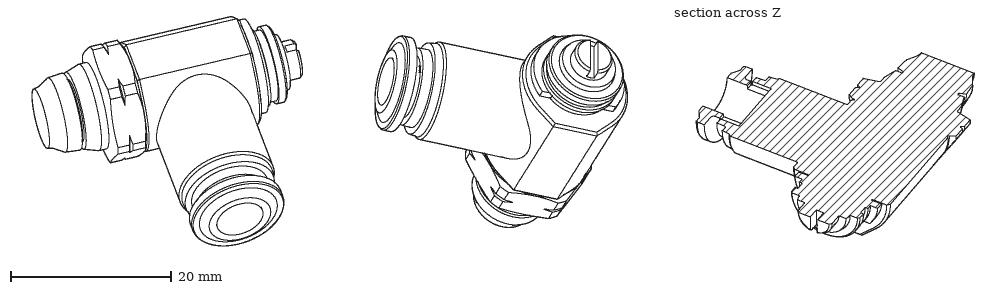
import cadquery as cq
import math


TIP_RADIUS = 3.82
TIP_RIM_RADIUS = 4.0
TIP_RIM_Y = 0.75
BULGE_START_RADIUS = 4.8
BULGE_START_Y = 2.08
BULGE_MID_RADIUS = 4.9
BULGE_MID_Y = 3.0
THREAD_RADIUS = 4.95
BULGE_END_Y = 3.95
NECK_RADIUS = 4.02
NECK_START_Y = 4.25
SEAL_START_Y = 4.45
SEAL_RADIUS = 5.55
SEAL_END_Y = 6.25

HEX_START_Y = 7.25
HEX_END_Y = 11.75
ACROSS_FLATS = 14.0
FLAT_RADIUS = ACROSS_FLATS / 2
CORNER_RADIUS = 7.75
HEX_LOWER_CHAMFER = 0.55
HEX_UPPER_CHAMFER = 0.45
NOTCH_Y = 9.48
NOTCH_RADIUS = 7.3
NOTCH_HALF_WIDTH = 0.25

BODY_START_Y = HEX_END_Y
BODY_END_Y = 26.8
BODY_LOWER_CHAMFER = 0.27
BODY_UPPER_CHAMFER = 0.35

GROOVE_RADIUS = 4.55
CLIP_RADIUS = 6.03
CLIP_CENTRE_Z = 0.55
CLIP_OPENING_Z = -3.0
CLIP_START_Y = 26.87
CLIP_END_Y = 27.9
LIP_RADIUS = 4.95
LOWER_LIP_END_Y = 28.55
UPPER_LIP_START_Y = 29.6
UPPER_LIP_END_Y = 30.75
LIP_CHAMFER = 0.25
SHOULDER_BASE_RADIUS = 3.7
SHOULDER_TAPER_START_Y = 30.95
SHOULDER_TOP_RADIUS = 3.52
SHOULDER_END_Y = 31.52
STEM_RADIUS = 2.48
STEM_END_Y = 33.5
STEM_CHAMFER_LENGTH = 0.35
STEM_CHAMFER_DEPTH = 0.27
SLOT_WIDTH = 1.0
SLOT_DEPTH = 1.5

BRANCH_Y = 19.23
BRANCH_RADIUS = 6.23
BRANCH_END_X = 16.75
RIM_START_RADIUS = 5.95
RIM_START_X = 17.05
RIM_END_RADIUS = 5.83
RIM_END_X = 18.1
CAP_START_RADIUS = 5.0
CAP_END_RADIUS = 4.92
CAP_END_X = 19.4
SLEEVE_RADIUS = 4.0
FLANGE_RADIUS = 6.03
FLANGE_START_X = 20.57
FLANGE_EDGE_X = 21.57
FLANGE_END_X = 21.8
FLANGE_CHAMFER_DEPTH = 0.15
SLEEVE_FILLET = 0.47
NOSE_BASE_RADIUS = 5.1
NOSE_RADIUS = 4.02
NOSE_END_X = 22.5
BORE_RADIUS = 3.0
BORE_BOTTOM_X = BRANCH_END_X
SLIT_WIDTH = 1.0
SLIT_END_X = 19.53


def revolve_on_main_axis(profile):
    return profile.close().revolve(360, (0, 0, 0), (0, 1, 0))


def make_plug():
    profile = (
        cq.Workplane("XY")
        .lineTo(TIP_RADIUS, 0)
        .lineTo(TIP_RIM_RADIUS, TIP_RIM_Y)
        .lineTo(BULGE_START_RADIUS, BULGE_START_Y)
        .threePointArc((BULGE_MID_RADIUS, BULGE_MID_Y), (THREAD_RADIUS, BULGE_END_Y))
        .lineTo(NECK_RADIUS, NECK_START_Y)
        .lineTo(NECK_RADIUS, SEAL_START_Y)
        .lineTo(THREAD_RADIUS, SEAL_START_Y)
        .lineTo(SEAL_RADIUS, SEAL_END_Y)
        .lineTo(SEAL_RADIUS, HEX_START_Y)
        .lineTo(0, HEX_START_Y)
    )
    return revolve_on_main_axis(profile)


def make_hexagon():
    blank = revolve_on_main_axis(
        cq.Workplane("XY")
        .moveTo(0, HEX_START_Y)
        .lineTo(SEAL_RADIUS, HEX_START_Y)
        .lineTo(CORNER_RADIUS, HEX_START_Y + HEX_LOWER_CHAMFER)
        .lineTo(CORNER_RADIUS, NOTCH_Y - NOTCH_HALF_WIDTH)
        .lineTo(NOTCH_RADIUS, NOTCH_Y)
        .lineTo(CORNER_RADIUS, NOTCH_Y + NOTCH_HALF_WIDTH)
        .lineTo(CORNER_RADIUS, HEX_END_Y - HEX_UPPER_CHAMFER)
        .lineTo(FLAT_RADIUS, HEX_END_Y)
        .lineTo(0, HEX_END_Y)
    )
    prism = (
        cq.Workplane("XZ", origin=(0, HEX_START_Y, 0))
        .polygon(6, ACROSS_FLATS / math.cos(math.pi / 6))
        .extrude(HEX_START_Y - HEX_END_Y)
    )
    return blank.intersect(prism)


def make_body():
    half_facet = FLAT_RADIUS * math.tan(math.pi / 8)
    tangent = FLAT_RADIUS * math.sqrt(0.5)
    return (
        cq.Workplane("XZ", origin=(0, BODY_START_Y, 0))
        .moveTo(-half_facet, FLAT_RADIUS)
        .lineTo(half_facet, FLAT_RADIUS)
        .lineTo(tangent, tangent)
        .threePointArc((FLAT_RADIUS, 0), (tangent, -tangent))
        .lineTo(half_facet, -FLAT_RADIUS)
        .lineTo(-half_facet, -FLAT_RADIUS)
        .lineTo(-tangent, -tangent)
        .threePointArc((-FLAT_RADIUS, 0), (-tangent, tangent))
        .close()
        .extrude(BODY_START_Y - BODY_END_Y)
        .faces("<Y")
        .chamfer(BODY_LOWER_CHAMFER)
        .faces(">Y")
        .chamfer(BODY_UPPER_CHAMFER)
    )


def make_clip():
    rim = (
        cq.Workplane("XZ", origin=(0, CLIP_START_Y, 0))
        .center(0, CLIP_CENTRE_Z)
        .circle(CLIP_RADIUS)
        .extrude(CLIP_START_Y - CLIP_END_Y)
    )
    opening = (
        cq.Workplane("XY", origin=(0, 0, CLIP_OPENING_Z))
        .rect(2 * CLIP_RADIUS, 2 * CLIP_END_Y)
        .extrude(-CLIP_RADIUS)
    )
    return rim.cut(opening)


def make_head():
    head = revolve_on_main_axis(
        cq.Workplane("XY")
        .moveTo(0, BODY_END_Y)
        .lineTo(GROOVE_RADIUS, BODY_END_Y)
        .lineTo(GROOVE_RADIUS, CLIP_END_Y)
        .lineTo(LIP_RADIUS, CLIP_END_Y)
        .lineTo(LIP_RADIUS, LOWER_LIP_END_Y)
        .lineTo(GROOVE_RADIUS, LOWER_LIP_END_Y)
        .lineTo(GROOVE_RADIUS, UPPER_LIP_START_Y)
        .lineTo(LIP_RADIUS, UPPER_LIP_START_Y)
        .lineTo(LIP_RADIUS, UPPER_LIP_END_Y - LIP_CHAMFER)
        .lineTo(LIP_RADIUS - LIP_CHAMFER, UPPER_LIP_END_Y)
        .lineTo(SHOULDER_BASE_RADIUS, UPPER_LIP_END_Y)
        .lineTo(SHOULDER_BASE_RADIUS, SHOULDER_TAPER_START_Y)
        .lineTo(SHOULDER_TOP_RADIUS, SHOULDER_END_Y)
        .lineTo(STEM_RADIUS, SHOULDER_END_Y)
        .lineTo(STEM_RADIUS, STEM_END_Y - STEM_CHAMFER_LENGTH)
        .lineTo(STEM_RADIUS - STEM_CHAMFER_DEPTH, STEM_END_Y)
        .lineTo(0, STEM_END_Y)
    )
    slot = cq.Workplane("XY").box(SLOT_WIDTH, 2 * SLOT_DEPTH, 2 * STEM_RADIUS).translate((0, STEM_END_Y, 0))
    return head.cut(slot)


def make_branch():
    profile = (
        cq.Workplane("XY", origin=(0, BRANCH_Y, 0))
        .lineTo(0, BRANCH_RADIUS)
        .lineTo(BRANCH_END_X, BRANCH_RADIUS)
        .lineTo(RIM_START_X, RIM_START_RADIUS)
        .lineTo(RIM_END_X, RIM_END_RADIUS)
        .lineTo(RIM_END_X, CAP_START_RADIUS)
        .lineTo(CAP_END_X, CAP_END_RADIUS)
        .lineTo(CAP_END_X, SLEEVE_RADIUS)
        .lineTo(FLANGE_START_X - SLEEVE_FILLET, SLEEVE_RADIUS)
        .radiusArc((FLANGE_START_X, SLEEVE_RADIUS + SLEEVE_FILLET), -SLEEVE_FILLET)
        .lineTo(FLANGE_START_X, FLANGE_RADIUS)
        .lineTo(FLANGE_EDGE_X, FLANGE_RADIUS)
        .lineTo(FLANGE_END_X, FLANGE_RADIUS - FLANGE_CHAMFER_DEPTH)
        .lineTo(FLANGE_END_X, NOSE_BASE_RADIUS)
        .lineTo(NOSE_END_X, NOSE_RADIUS)
        .lineTo(NOSE_END_X, 0)
    )
    return profile.close().revolve(360, (0, 0, 0), (1, 0, 0))


def make_tube_socket():
    socket_plane = cq.Workplane("YZ", origin=(BORE_BOTTOM_X, BRANCH_Y, 0))
    bore = socket_plane.circle(BORE_RADIUS).extrude(NOSE_END_X - BORE_BOTTOM_X)
    slit_length = SLIT_END_X - BORE_BOTTOM_X
    slit = (
        socket_plane.rect(2 * SLEEVE_RADIUS, SLIT_WIDTH)
        .extrude(slit_length)
        .intersect(socket_plane.circle(SLEEVE_RADIUS).extrude(slit_length))
    )
    return bore.union(slit)


result = (
    make_body()
    .union(make_branch())
    .union(make_plug())
    .union(make_hexagon())
    .union(make_head())
    .union(make_clip())
    .cut(make_tube_socket())
)